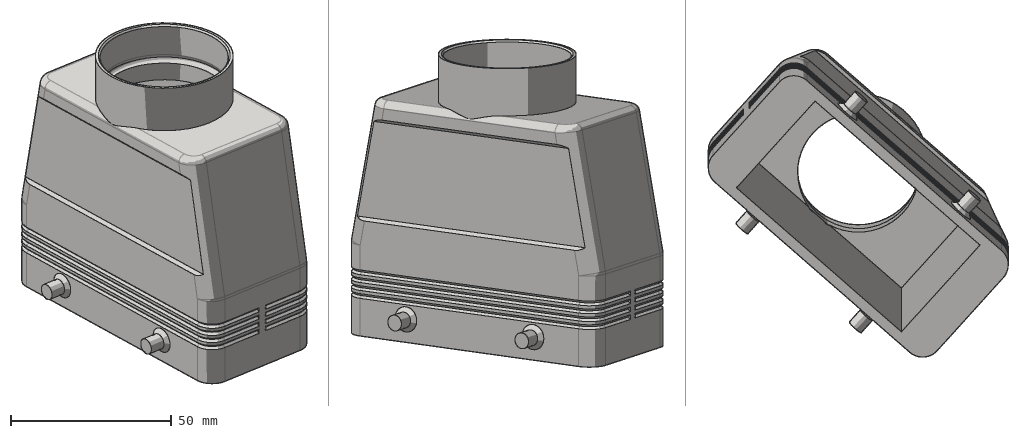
import cadquery as cq
import math

LENGTH = 93.5
WIDTH = 43.2
BODY_HEIGHT = 75.9
SHOULDER_HEIGHT = 29.6
SHOULDER_RADIUS = 4.7
TOP_LENGTH = 75.2
CORNER_RADIUS = 6.1
TOP_EDGE_RADIUS = 2.3

WALL = 3.2
ROOF = 3.7
CAVITY_HEIGHT = BODY_HEIGHT - ROOF
CAVITY_LENGTH = TOP_LENGTH - 2 * WALL
CAVITY_WIDTH = WIDTH - 2 * WALL

TOTAL_HEIGHT = 91.0
COLLAR_RADIUS = 21.5
COLLAR_BORE_RADIUS = 20.0
RIM_CHAMFER = 0.6
ENTRY_RADIUS = 18.9
ENTRY_BOTTOM = 70.9
SEAT_BOTTOM = 78.1
SEAT_RADIUS = 1.4
UNDERCUT_RADIUS = ENTRY_RADIUS + SEAT_RADIUS
UNDERCUT_BOTTOM = SEAT_BOTTOM + SEAT_RADIUS
UNDERCUT_TOP = 80.5

RECESS_DEPTH = 1.0
RECESS_BOTTOM = 36.9
RECESS_TOP = 69.9

GROOVE_COUNT = 4
GROOVE_PITCH = 2.5
GROOVE_WIDTH = 1.5
GROOVE_DEPTH = 0.75
LOWEST_GROOVE = 12.8
GROOVE_GAP = 2.8

PIN_SPAN = 56.0
PIN_SPACING = 47.3
PIN_HEIGHT = 7.4
PIN_RADIUS = 2.5
PIN_FOOT_RADIUS = 4.0
PIN_FOOT_HEIGHT = 1.2
PIN_ROOT = 0.9


def make_block():
    """Rounded block with upright ends up to the shoulder and sloping ends above it."""
    block = (
        cq.Workplane("XZ")
        .moveTo(-LENGTH / 2, 0)
        .lineTo(LENGTH / 2, 0)
        .lineTo(LENGTH / 2, SHOULDER_HEIGHT)
        .lineTo(TOP_LENGTH / 2, BODY_HEIGHT)
        .lineTo(-TOP_LENGTH / 2, BODY_HEIGHT)
        .lineTo(-LENGTH / 2, SHOULDER_HEIGHT)
        .close()
        .extrude(WIDTH / 2, both=True)
    )
    block = block.edges("|Y").edges(">>Z[1]").fillet(SHOULDER_RADIUS)
    block = block.edges("|Z").fillet(CORNER_RADIUS)
    return block.faces(">Z").edges().fillet(TOP_EDGE_RADIUS)


def make_recess(side):
    """Cutter for the recess on the long side facing the given Y direction."""
    face = side * WIDTH / 2
    floor = face - side * RECESS_DEPTH
    outside = face + side * RECESS_DEPTH
    profile = [
        (outside, RECESS_BOTTOM - RECESS_DEPTH),
        (floor, RECESS_BOTTOM + RECESS_DEPTH),
        (floor, RECESS_TOP - RECESS_DEPTH),
        (outside, RECESS_TOP + RECESS_DEPTH),
    ]
    return cq.Workplane("YZ").polyline(profile).close().extrude(LENGTH / 2, both=True)


def make_groove(outline, height):
    """V-shaped ring that follows the base outline, left out at the end gaps."""
    profile = [
        (-WIDTH / 2, height - GROOVE_WIDTH / 2),
        (-WIDTH / 2 + GROOVE_DEPTH, height),
        (-WIDTH / 2, height + GROOVE_WIDTH / 2),
    ]
    path = outline.translate((0, 0, height))
    ring = cq.Workplane("YZ").polyline(profile).close().sweep(path)
    gap = cq.Workplane("XY").workplane(offset=height).box(2 * LENGTH, GROOVE_GAP, 2 * GROOVE_WIDTH)
    return ring.cut(gap)


def make_pin(x, side):
    """Round pin with a conical foot, standing on a long side."""
    root = WIDTH / 2 - PIN_ROOT
    foot_end = WIDTH / 2 + PIN_FOOT_HEIGHT
    profile = [
        (0, root),
        (PIN_FOOT_RADIUS, root),
        (PIN_FOOT_RADIUS, WIDTH / 2),
        (PIN_RADIUS, foot_end),
        (PIN_RADIUS, PIN_SPAN / 2),
        (0, PIN_SPAN / 2),
    ]
    pin = cq.Workplane("XY").polyline(profile).close().revolve(360, (0, 0), (0, 1))
    if side < 0:
        pin = pin.mirror("XZ")
    return pin.translate((x, 0, PIN_HEIGHT))


def make_entry():
    """Cutter for the stepped cable entry through the collar and the roof."""
    seat_middle = SEAT_RADIUS * math.sqrt(0.5)
    return (
        cq.Workplane("XZ")
        .moveTo(0, ENTRY_BOTTOM)
        .lineTo(ENTRY_RADIUS, ENTRY_BOTTOM)
        .lineTo(ENTRY_RADIUS, SEAT_BOTTOM)
        .threePointArc(
            (ENTRY_RADIUS + seat_middle, UNDERCUT_BOTTOM - seat_middle),
            (UNDERCUT_RADIUS, UNDERCUT_BOTTOM),
        )
        .lineTo(COLLAR_BORE_RADIUS, UNDERCUT_TOP)
        .lineTo(COLLAR_BORE_RADIUS, TOTAL_HEIGHT - RIM_CHAMFER)
        .lineTo(COLLAR_BORE_RADIUS + RIM_CHAMFER, TOTAL_HEIGHT)
        .lineTo(0, TOTAL_HEIGHT)
        .close()
        .revolve(360, (0, 0), (0, 1))
    )


body = make_block()
base_outline = body.faces("<Z").wires()

for side in (-1, 1):
    body = body.cut(make_recess(side))
for index in range(GROOVE_COUNT):
    body = body.cut(make_groove(base_outline, LOWEST_GROOVE + index * GROOVE_PITCH))

collar = cq.Workplane("XY").workplane(offset=CAVITY_HEIGHT).circle(COLLAR_RADIUS)
body = body.union(collar.extrude(TOTAL_HEIGHT - CAVITY_HEIGHT))

for side in (-1, 1):
    for x in (-PIN_SPACING / 2, PIN_SPACING / 2):
        body = body.union(make_pin(x, side))

cavity = cq.Workplane("XY").rect(CAVITY_LENGTH, CAVITY_WIDTH).extrude(CAVITY_HEIGHT)
result = body.cut(cavity).cut(make_entry())